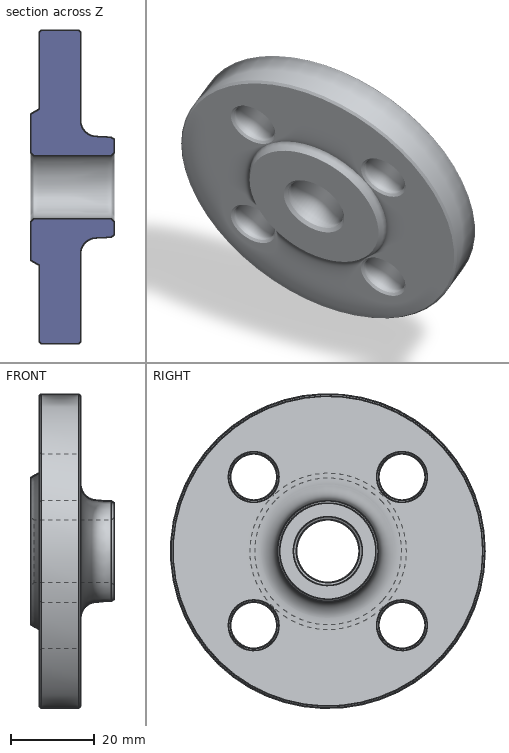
import cadquery as cq

flange_diameter = 75.0
total_length = 20.0
face_height = 2.0
plate_thickness = 10.0
plate_chamfer = 0.5

face_base_diameter = 37.35
face_front_diameter = 35.0

hub_fillet_radius = 3.75
hub_root_diameter = 24.4
hub_tip_diameter = 24.0
hub_end_diameter = 22.95
hub_end_chamfer = 0.8

bore_diameter = 14.9
bore_chamfer = 0.75

bolt_hole_diameter = 11.0
bolt_hole_chamfer = 0.5
bolt_circle_diameter = 50.0
bolt_count = 4
first_bolt_angle = 45.0

plate_front = face_height
plate_back = plate_front + plate_thickness
flange_radius = flange_diameter / 2
hub_root_radius = hub_root_diameter / 2
hub_tip_radius = hub_tip_diameter / 2
fillet_end = plate_back + hub_fillet_radius


def make_body():
    """Revolve the half profile (X along the axis, Y as radius) about X."""
    profile = (
        cq.Workplane("XY")
        .moveTo(0, 0)
        .lineTo(0, face_front_diameter / 2)
        .lineTo(plate_front, face_base_diameter / 2)
        .lineTo(plate_front, flange_radius - plate_chamfer)
        .lineTo(plate_front + plate_chamfer, flange_radius)
        .lineTo(plate_back - plate_chamfer, flange_radius)
        .lineTo(plate_back, flange_radius - plate_chamfer)
        .lineTo(plate_back, hub_root_radius + hub_fillet_radius)
        .radiusArc((fillet_end, hub_root_radius), -hub_fillet_radius)
        .lineTo(total_length - hub_end_chamfer, hub_tip_radius)
        .lineTo(total_length, hub_end_diameter / 2)
        .lineTo(total_length, 0)
        .close()
    )
    return profile.revolve(360, (0, 0, 0), (1, 0, 0))


def chamfered_hole(start, end, diameter, chamfer):
    """Cutter along X between two faces, widened by a chamfer at its ends."""
    radius = diameter / 2
    outline = (
        cq.Workplane("XY")
        .moveTo(start, 0)
        .lineTo(start, radius + chamfer)
        .lineTo(start + chamfer, radius)
        .lineTo(end - chamfer, radius)
        .lineTo(end, radius + chamfer)
        .lineTo(end, 0)
        .close()
    )
    return outline.revolve(360, (0, 0, 0), (1, 0, 0))


def make_bolt_holes():
    hole = chamfered_hole(plate_front, plate_back, bolt_hole_diameter, bolt_hole_chamfer)
    hole = hole.translate((0, bolt_circle_diameter / 2, 0))
    holes = cq.Workplane("XY")
    for index in range(bolt_count):
        angle = first_bolt_angle + index * 360 / bolt_count
        holes = holes.add(hole.rotate((0, 0, 0), (1, 0, 0), angle))
    return holes.combine()


bore = chamfered_hole(0, total_length, bore_diameter, bore_chamfer)
result = make_body().cut(bore).cut(make_bolt_holes())